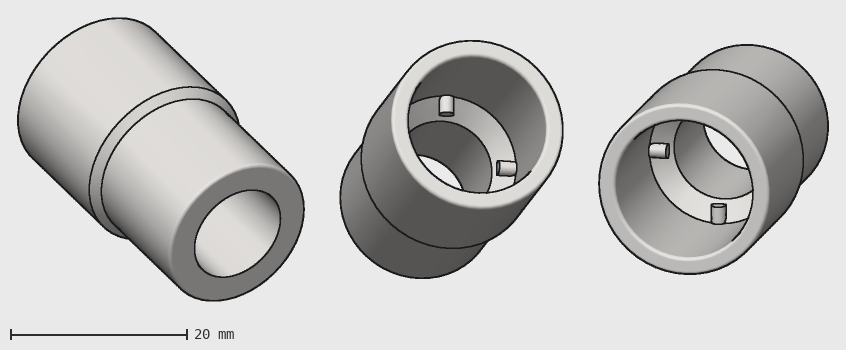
import cadquery as cq

total_length = 32.0
socket_outer_radius = 20.0 / 2
spigot_outer_radius = 18.0 / 2
socket_length = 16.0
edge_round = 0.4

socket_bore_radius = 16.0 / 2
spigot_bore_radius = 11.4 / 2
socket_depth = socket_length

pin_count = 4
pin_radius = 0.83
pin_tip_radius = 12.0 / 2
pin_sink = 0.4

shoulder_end = socket_length + socket_outer_radius - spigot_outer_radius
seat_end = socket_depth + socket_bore_radius - spigot_bore_radius
pin_root_radius = (socket_bore_radius + spigot_outer_radius) / 2


def make_sleeve():
    """Revolve the half section about X and round the two end rims."""
    section = [
        (0, socket_bore_radius),
        (0, socket_outer_radius),
        (socket_length, socket_outer_radius),
        (shoulder_end, spigot_outer_radius),
        (total_length, spigot_outer_radius),
        (total_length, spigot_bore_radius),
        (seat_end, spigot_bore_radius),
        (socket_depth, socket_bore_radius),
    ]
    sleeve = cq.Workplane("XY").polyline(section).close().revolve(360, (0, 0, 0), (1, 0, 0))
    sleeve = sleeve.faces("<X").edges().fillet(edge_round)
    spigot_rim = cq.selectors.RadiusNthSelector(-1)
    return sleeve.faces(">X").edges(spigot_rim).fillet(edge_round)


def make_pins():
    """Ring of radial pins, rooted in the wall and trimmed to a common inner cylinder."""
    pin = (
        cq.Workplane("XY")
        .center(socket_depth + pin_sink, 0)
        .circle(pin_radius)
        .extrude(pin_root_radius)
    )
    pins = cq.Workplane("XY")
    for index in range(pin_count):
        pins = pins.add(pin.rotate((0, 0, 0), (1, 0, 0), index * 360 / pin_count))
    tip_clearance = cq.Workplane("YZ").circle(pin_tip_radius).extrude(total_length)
    return pins.combine().cut(tip_clearance)


result = make_sleeve().union(make_pins())